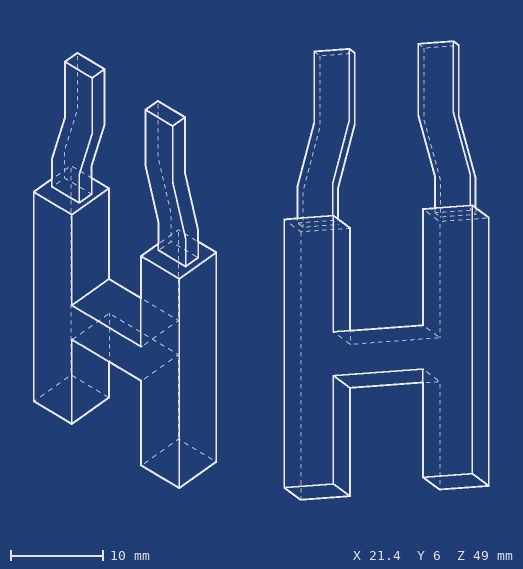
import cadquery as cq

WIDTH = 21.45
DEPTH = 6.0
HEIGHT = 49.0

HOUSING_HEIGHT = 30.0
POST_WIDTH = 5.65
CROSSBAR_BOTTOM = 12.1
CROSSBAR_HEIGHT = 4.9

PIN_WIDTH = 4.0
PIN_THICKNESS = 2.0
PIN_EDGE_GAP = 0.9
PIN_OFFSET = 1.9
BEND_START = 34.0
BEND_END = 41.0


def make_post(side):
    """Post on the left (side = -1) or right (side = 1), standing on Z = 0."""
    center_x = side * (WIDTH - POST_WIDTH) / 2
    return (
        cq.Workplane("XY")
        .center(center_x, 0)
        .rect(POST_WIDTH, DEPTH)
        .extrude(HOUSING_HEIGHT)
    )


def make_housing():
    """Two posts and the crossbar between them, as one solid."""
    crossbar = (
        cq.Workplane("XY", origin=(0, 0, CROSSBAR_BOTTOM))
        .rect(WIDTH - 2 * POST_WIDTH, DEPTH)
        .extrude(CROSSBAR_HEIGHT)
    )
    return make_post(-1).union(crossbar).union(make_post(1))


def make_pin(side):
    """Flat pin whose tip is cranked toward the middle of the part."""
    foot_outer = side * (WIDTH / 2 - PIN_EDGE_GAP)
    foot_inner = foot_outer - side * PIN_WIDTH
    tip_outer = foot_outer - side * PIN_OFFSET
    tip_inner = tip_outer - side * PIN_WIDTH
    return (
        cq.Workplane("XZ")
        .polyline([
            (foot_outer, HOUSING_HEIGHT),
            (foot_outer, BEND_START),
            (tip_outer, BEND_END),
            (tip_outer, HEIGHT),
            (tip_inner, HEIGHT),
            (tip_inner, BEND_END),
            (foot_inner, BEND_START),
            (foot_inner, HOUSING_HEIGHT),
        ])
        .close()
        .extrude(PIN_THICKNESS / 2, both=True)
    )


housing = make_housing()
pins = [make_pin(side).val() for side in (-1, 1)]

result = cq.Compound.makeCompound([housing.val(), *pins])